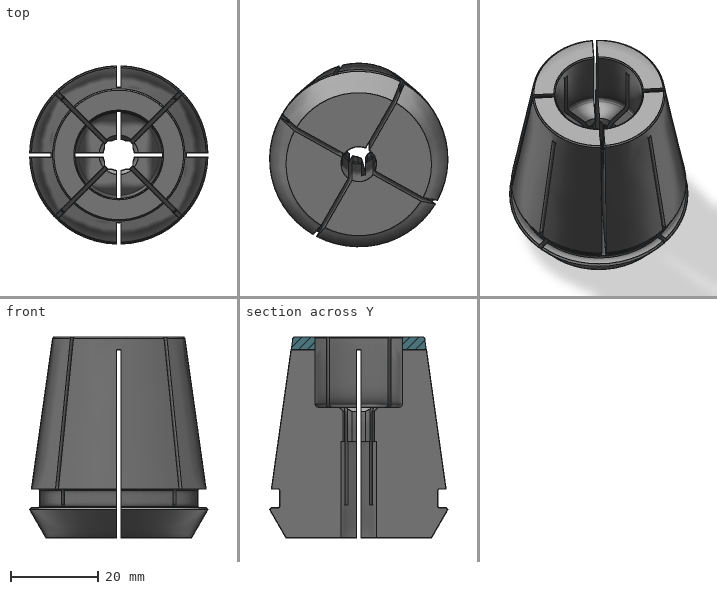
import cadquery as cq
import math

height = 46.0
flange_diameter = 40.8

flange_height = 6.95
flange_edge_break = 0.4
nose_angle = 30.0

groove_diameter = 36.15
groove_height = 4.25
groove_corner = 0.28

taper_diameter = 39.97
taper_angle = 8.0
top_edge_break = 0.3

clearance_diameter = 19.95
clearance_floor = 29.9
clearance_mouth_chamfer = 0.28
clearance_floor_fillet = 0.8

shank_diameter = 8.1
shank_depth = 22.1
square_width = 6.45
pilot_diameter = 7.18
square_mouth_diameter = 9.0

slot_width = 0.95
closed_top_web = 3.0
closed_bottom_web = 7.5


def make_body():
    """Revolve the outer profile about Z."""
    flange_radius = flange_diameter / 2
    rim_height = flange_height - flange_edge_break
    nose_radius = flange_radius - rim_height * math.tan(math.radians(nose_angle))
    groove_radius = groove_diameter / 2
    taper_start = flange_height + groove_height
    taper_radius = taper_diameter / 2
    slope = math.tan(math.radians(taper_angle))
    shoulder_height = height - top_edge_break
    shoulder_radius = taper_radius - (shoulder_height - taper_start) * slope
    return (
        cq.Workplane("XZ")
        .moveTo(0, 0)
        .lineTo(nose_radius, 0)
        .lineTo(flange_radius, rim_height)
        .lineTo(flange_radius - flange_edge_break, flange_height)
        .lineTo(groove_radius + groove_corner, flange_height)
        .lineTo(groove_radius, flange_height + groove_corner)
        .lineTo(groove_radius, taper_start - groove_corner)
        .lineTo(groove_radius + groove_corner, taper_start)
        .lineTo(taper_radius, taper_start)
        .lineTo(shoulder_radius, shoulder_height)
        .lineTo(shoulder_radius - top_edge_break, height)
        .lineTo(0, height)
        .close()
        .revolve(360, (0, 0, 0), (0, 1, 0))
    )


def make_clearance_bore():
    """Blind bore from the top, chamfered at its mouth and rounded at its floor."""
    radius = clearance_diameter / 2
    return (
        cq.Workplane("XZ")
        .moveTo(0, clearance_floor)
        .lineTo(radius - clearance_floor_fillet, clearance_floor)
        .radiusArc((radius, clearance_floor + clearance_floor_fillet), -clearance_floor_fillet)
        .lineTo(radius, height - clearance_mouth_chamfer)
        .lineTo(radius + clearance_mouth_chamfer, height)
        .lineTo(0, height)
        .close()
        .revolve(360, (0, 0, 0), (0, 1, 0))
    )


def make_tool_hole():
    """Shank bore, square drive with its pilot hole, and a 45 degree lead-in."""
    shank = cq.Workplane("XY").circle(shank_diameter / 2).extrude(shank_depth)
    pilot = cq.Workplane("XY").circle(pilot_diameter / 2).extrude(clearance_floor)
    square = (
        cq.Workplane("XY")
        .workplane(offset=shank_depth)
        .rect(square_width, square_width)
        .extrude(clearance_floor - shank_depth)
    )
    mouth_radius = square_mouth_diameter / 2
    lead_in = (
        cq.Workplane("XZ")
        .moveTo(0, clearance_floor)
        .lineTo(mouth_radius, clearance_floor)
        .lineTo(0, clearance_floor - mouth_radius)
        .close()
        .revolve(360, (0, 0, 0), (0, 1, 0))
    )
    return shank.union(pilot).union(square).union(lead_in)


def make_slot(angle, bottom, top):
    """Slot running straight across the part, turned about Z by the given angle."""
    return (
        cq.Workplane("XY")
        .workplane(offset=bottom)
        .rect(flange_diameter + slot_width, slot_width)
        .extrude(top - bottom)
        .rotate((0, 0, 0), (0, 0, 1), angle)
    )


result = make_body().cut(make_clearance_bore()).cut(make_tool_hole())

for angle in (0, 90):
    result = result.cut(make_slot(angle, 0, height - closed_top_web))
for angle in (45, 135):
    result = result.cut(make_slot(angle, closed_bottom_web, height))